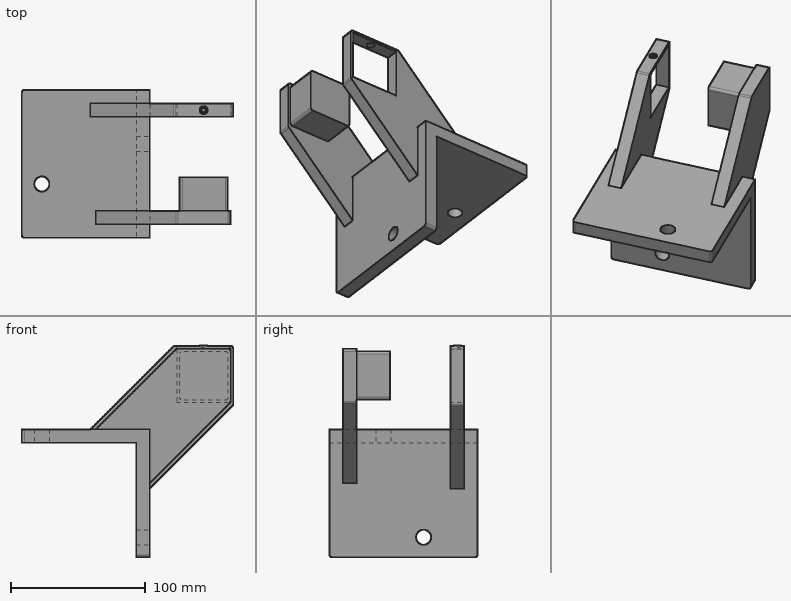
import cadquery as cq

leg_length = 95.0
bracket_width = 110.0
plate_thickness = 10.0
bolt_hole_diameter = 11.0
bolt_hole_edge_distance = 15.0
bolt_hole_offset = 15.0
corner_radius = 2.0

arm_inset = plate_thickness
frame_reach = 62.0
frame_foot = 44.0
rim_thickness = 2.0
window_size = 40.0
holder_reach = frame_reach - rim_thickness
holder_foot = 40.0

block_size = 36.0
block_depth = 25.0

screw_diameter = 6.0
screw_protrusion = 0.3
screw_chamfer = 0.24
socket_diameter = 3.5
socket_depth = 1.3
socket_turn = 15

frame_y = bracket_width / 2 - arm_inset - plate_thickness
holder_y = -bracket_width / 2 + arm_inset
window_center = frame_reach - rim_thickness - window_size / 2


def make_bracket():
    """Two equal legs at a right angle, with one bolt hole in each."""
    leg = leg_length
    inner = -plate_thickness
    bracket = (
        cq.Workplane("XZ")
        .polyline([(0, 0), (-leg, 0), (-leg, inner), (inner, inner), (inner, -leg), (0, -leg)])
        .close()
        .extrude(bracket_width / 2, both=True)
    )
    bracket = bracket.edges("<X and |Z").fillet(corner_radius)
    bracket = bracket.edges("<Z and |X").fillet(corner_radius)
    hole_position = bolt_hole_edge_distance - leg_length
    top_hole = (
        cq.Workplane("XY")
        .center(hole_position, -bolt_hole_offset)
        .circle(bolt_hole_diameter / 2)
        .extrude(-plate_thickness)
    )
    side_hole = (
        cq.Workplane("YZ")
        .center(bolt_hole_offset, hole_position)
        .circle(bolt_hole_diameter / 2)
        .extrude(-plate_thickness)
    )
    return bracket.cut(top_hole).cut(side_hole)


def make_arm(reach, foot, near_y):
    """Diagonal plate that fits around the outer corner of the bracket."""
    shoulder = reach - foot
    arm = (
        cq.Workplane("XZ", origin=(0, near_y, 0))
        .polyline([(0, 0), (-foot, 0), (shoulder, reach), (reach, reach), (reach, shoulder), (0, -foot)])
        .close()
        .extrude(-plate_thickness)
    )
    return arm.edges("|Y and (>X or >Z)").fillet(corner_radius)


def make_screw(finished=True):
    """Set screw flush with the inside of the rim; unfinished, it is the plain cylinder for its hole."""
    screw_length = rim_thickness + screw_protrusion
    screw = (
        cq.Workplane("XY", origin=(window_center, frame_y + plate_thickness / 2, holder_reach))
        .circle(screw_diameter / 2)
        .extrude(screw_length)
    )
    if finished:
        screw = screw.faces(">Z").edges().chamfer(screw_chamfer)
        screw = (
            screw.faces(">Z")
            .workplane()
            .transformed(rotate=(0, 0, socket_turn))
            .polygon(6, socket_diameter)
            .cutBlind(-socket_depth)
        )
    return screw


def make_frame_arm():
    """Arm with a square window and a hole for the set screw."""
    window = (
        cq.Workplane("XZ", origin=(window_center, frame_y, window_center))
        .rect(window_size, window_size)
        .extrude(-plate_thickness)
    )
    return make_arm(frame_reach, frame_foot, frame_y).cut(window).cut(make_screw(finished=False))


def make_holder_arm():
    """Arm with a rounded square block on its inner face, level with the window."""
    block = (
        cq.Workplane("XZ", origin=(window_center, holder_y + plate_thickness, window_center))
        .rect(block_size, block_size)
        .extrude(-block_depth)
        .edges("|Y")
        .fillet(corner_radius)
    )
    return make_arm(holder_reach, holder_foot, holder_y).union(block)


bracket = make_bracket()
frame_arm = make_frame_arm()
holder_arm = make_holder_arm()
set_screw = make_screw()

result = cq.Compound.makeCompound([bracket.val(), frame_arm.val(), holder_arm.val(), set_screw.val()])